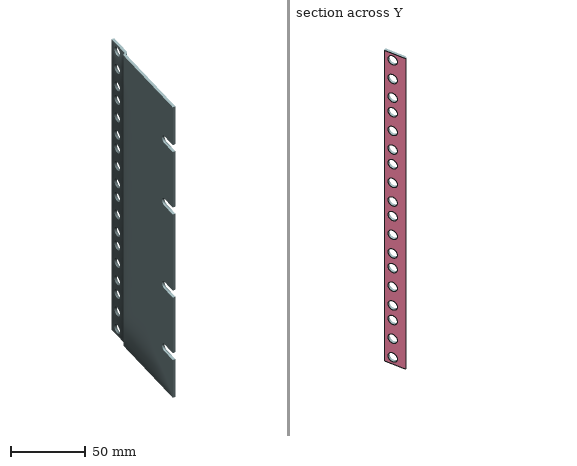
import cadquery as cq

HEIGHT = 266.0
WIDTH = 79.5
DEPTH = 4.0
THICKNESS = 2.0
STEP = DEPTH - THICKNESS

FLANGE_WIDTH = 16.2
JOGGLE_RUN = 0.8
BACK_SHIFT = 0.8
BEND_RADIUS = THICKNESS

RACK_UNIT = 44.5
UNIT_COUNT = 6
HOLES_PER_UNIT = 3
HOLE_PITCH = 16.0
HOLE_DIAMETER = 7.2
HOLE_X = 7.0

SLOT_WIDTH = 6.5
SLOT_LENGTH = 13.5
SLOT_OFFSETS = (38.0, 95.2)


def make_plate():
    """Extrude the joggled section, centred on Z = 0."""
    front_bend_x = FLANGE_WIDTH + JOGGLE_RUN
    plate = (
        cq.Workplane("XY")
        .workplane(offset=-HEIGHT / 2)
        .moveTo(0, STEP)
        .lineTo(FLANGE_WIDTH, STEP)
        .lineTo(front_bend_x, 0)
        .lineTo(WIDTH, 0)
        .lineTo(WIDTH, THICKNESS)
        .lineTo(front_bend_x + BACK_SHIFT, THICKNESS)
        .lineTo(FLANGE_WIDTH + BACK_SHIFT, DEPTH)
        .lineTo(0, DEPTH)
        .close()
        .extrude(HEIGHT)
    )
    for x, y in ((front_bend_x, 0), (FLANGE_WIDTH + BACK_SHIFT, DEPTH)):
        bend_edge = cq.selectors.NearestToPointSelector((x, y, 0))
        plate = plate.edges("|Z").edges(bend_edge).fillet(BEND_RADIUS)
    return plate


def make_holes():
    """Cylinders for the rack holes, grouped by rack unit."""
    centres = []
    for unit in range(UNIT_COUNT):
        unit_z = (unit - (UNIT_COUNT - 1) / 2) * RACK_UNIT
        for hole in range(HOLES_PER_UNIT):
            hole_z = unit_z + (hole - (HOLES_PER_UNIT - 1) / 2) * HOLE_PITCH
            centres.append((HOLE_X, hole_z))
    return cq.Workplane("XZ").pushPoints(centres).circle(HOLE_DIAMETER / 2).extrude(-DEPTH)


def make_slots():
    """Slot cutters mirrored about mid-height, running out through the edge."""
    centres = [(WIDTH, side * offset) for side in (-1, 1) for offset in SLOT_OFFSETS]
    return (
        cq.Workplane("XZ")
        .pushPoints(centres)
        .slot2D(2 * SLOT_LENGTH, SLOT_WIDTH)
        .extrude(-DEPTH)
    )


result = make_plate().cut(make_holes()).cut(make_slots())